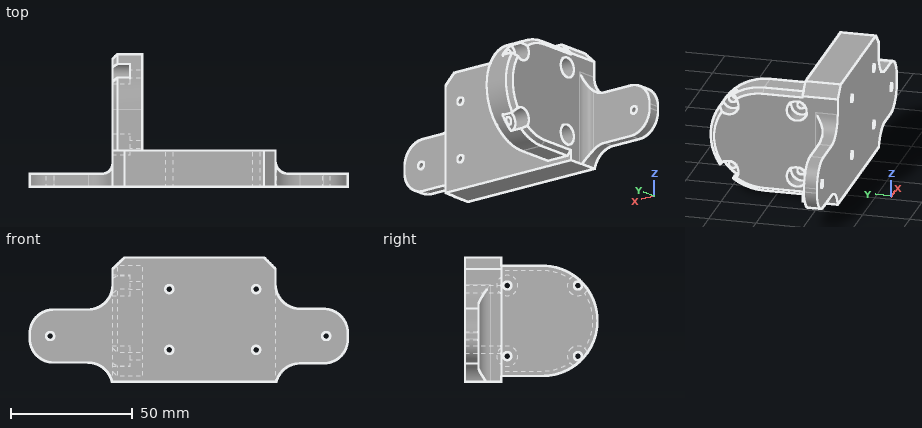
import cadquery as cq
import math

total_length = 130.68
block_height = 51.04
block_depth = 15.0
block_left = 34.0
block_right = 101.0
left_chamfer_width = 5.0
right_chamfer_width = 4.75
top_chamfer_height = 4.75

ear_thickness = 5.5
ear_corner_radius = 10.0
left_ear_blend_radius = 9.9
right_ear_blend_radius = 10.0
left_ear_root_fillet = 4.0
right_ear_root_fillet = 5.0
left_ear_bottom = 7.8
left_ear_top = 29.7
right_ear_bottom = 7.5
right_ear_top = 30.0

screw_hole_diameter = 3.2
ear_hole_z = 18.75
left_ear_hole_x = 8.45
right_ear_hole_x = 121.75
block_holes_x = (57.35, 93.0)
block_holes_z = (13.1, 38.0)

plate_thickness = 12.3
plate_radius = 22.7
plate_chamfer = 2.0
plate_center_y = 31.78
plate_center_z = 25.0

plate_hole_pitch = 29.0
plate_hole_diameter = 3.2
plate_holes_center_y = 31.9
counterbore_diameter = 8.5
counterbore_depth = 7.2


def blend_reach_at_bottom(ear_bottom, blend_radius):
    """Horizontal run of the lower ear blend, from its start on the ear to the bottom edge."""
    center_below_bottom = blend_radius - ear_bottom
    return math.sqrt(blend_radius**2 - center_below_bottom**2)


def front_outline():
    """Outline of the block and its ears in the XZ plane, extruded through the block depth."""
    corner = ear_corner_radius
    left_blend = left_ear_blend_radius
    right_blend = right_ear_blend_radius
    left_blend_x = block_left - left_blend
    right_blend_x = block_right + right_blend
    bottom_left = left_blend_x + blend_reach_at_bottom(left_ear_bottom, left_blend)
    bottom_right = right_blend_x - blend_reach_at_bottom(right_ear_bottom, right_blend)
    chamfer_z = block_height - top_chamfer_height
    outline = (
        cq.Workplane("XZ")
        .moveTo(bottom_left, 0)
        .lineTo(bottom_right, 0)
        .radiusArc((right_blend_x, right_ear_bottom), right_blend)
        .lineTo(total_length - corner, right_ear_bottom)
        .radiusArc((total_length, right_ear_bottom + corner), -corner)
        .lineTo(total_length, right_ear_top - corner)
        .radiusArc((total_length - corner, right_ear_top), -corner)
        .lineTo(right_blend_x, right_ear_top)
        .radiusArc((block_right, right_ear_top + right_blend), right_blend)
        .lineTo(block_right, chamfer_z)
        .lineTo(block_right - right_chamfer_width, block_height)
        .lineTo(block_left + left_chamfer_width, block_height)
        .lineTo(block_left, chamfer_z)
        .lineTo(block_left, left_ear_top + left_blend)
        .radiusArc((left_blend_x, left_ear_top), left_blend)
        .lineTo(corner, left_ear_top)
        .radiusArc((0, left_ear_top - corner), -corner)
        .lineTo(0, left_ear_bottom + corner)
        .radiusArc((corner, left_ear_bottom), -corner)
        .lineTo(left_blend_x, left_ear_bottom)
        .radiusArc((bottom_left, 0), left_blend)
        .close()
    )
    return outline.extrude(-block_depth)


def depth_profile():
    """Thin ears rising through root fillets to the deep block, in the XY plane."""
    left_root = left_ear_root_fillet
    right_root = right_ear_root_fillet
    return (
        cq.Workplane("XY")
        .lineTo(total_length, 0)
        .lineTo(total_length, ear_thickness)
        .lineTo(block_right + right_root, ear_thickness)
        .radiusArc((block_right, ear_thickness + right_root), right_root)
        .lineTo(block_right, block_depth)
        .lineTo(block_left, block_depth)
        .lineTo(block_left, ear_thickness + left_root)
        .radiusArc((block_left - left_root, ear_thickness), left_root)
        .lineTo(0, ear_thickness)
        .close()
        .extrude(block_height)
    )


def motor_plate():
    """Round-ended plate behind the block, chamfered around its outer (-X) face."""
    bottom_z = plate_center_z - plate_radius
    top_z = plate_center_z + plate_radius
    plate = (
        cq.Workplane("YZ", origin=(block_left, 0, 0))
        .moveTo(0, bottom_z)
        .lineTo(plate_center_y, bottom_z)
        .threePointArc((plate_center_y + plate_radius, plate_center_z), (plate_center_y, top_z))
        .lineTo(0, top_z)
        .close()
        .extrude(plate_thickness)
        .faces("<X")
        .chamfer(plate_chamfer)
    )
    behind_block = cq.Workplane("XY").box(
        plate_thickness, plate_center_y + plate_radius, block_height, centered=False
    )
    return plate.intersect(behind_block.translate((block_left, block_depth, 0)))


def screw_holes():
    """Cylinders for the screw holes of the block and the ears."""
    centers = [(left_ear_hole_x, ear_hole_z), (right_ear_hole_x, ear_hole_z)]
    centers += [(x, z) for x in block_holes_x for z in block_holes_z]
    return (
        cq.Workplane("XZ")
        .pushPoints(centers)
        .circle(screw_hole_diameter / 2)
        .extrude(-block_depth)
    )


def plate_holes():
    """Through holes with counterbores sunk from the outer (-X) face of the plate."""
    pattern = cq.Workplane(
        "YZ", origin=(block_left, plate_holes_center_y, plate_center_z)
    ).rarray(plate_hole_pitch, plate_hole_pitch, 2, 2)
    through = pattern.circle(plate_hole_diameter / 2).extrude(plate_thickness)
    counterbores = pattern.circle(counterbore_diameter / 2).extrude(counterbore_depth)
    return through.union(counterbores)


block = front_outline().intersect(depth_profile())
result = block.union(motor_plate()).cut(screw_holes()).cut(plate_holes())